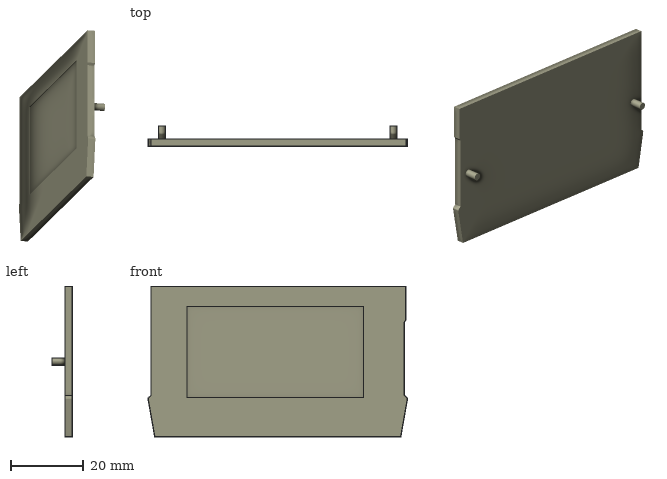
import cadquery as cq
import math

width = 71.7
height = 41.6
total_depth = 5.7
plate_thickness = 2.1

left_edge = 35.05
right_edge = 35.0
right_upper_edge = 35.4

right_step_low = 31.7
right_step_high = 32.35

lug_tip_height = 10.6
lug_tip_radius = 0.35
foot_taper = math.radians(10)
lug_slope = math.radians(45)

half_turn = (foot_taper + lug_slope) / 2
half_tilt = (lug_slope - foot_taper) / 2
corner_overshoot = lug_tip_radius * (math.cos(half_tilt) / math.cos(half_turn) - 1)
lug_corner = width / 2 + corner_overshoot
foot_half_width = lug_corner - lug_tip_height * math.tan(foot_taper)

recess_left = -25.0
recess_right = 23.65
recess_bottom = 10.8
recess_top = 36.1
recess_depth = 0.2

pin_diameter = 2.0
pin_offset = 32.0
pin_height = height / 2


def front_plane(y):
    """Workplane at depth y whose local axes are X and Z and whose normal is -Y."""
    return cq.Workplane("XZ", origin=(0, y, 0))


def lug_top_height(side_edge):
    """Height at which the upper slope of a lug meets a side edge."""
    return lug_tip_height + (lug_corner - side_edge) * math.tan(lug_slope)


def make_plate():
    """Flat plate with a rounded lug on each side edge above a tapered foot."""
    outline = [
        (-foot_half_width, 0),
        (foot_half_width, 0),
        (lug_corner, lug_tip_height),
        (right_edge, lug_top_height(right_edge)),
        (right_edge, right_step_low),
        (right_upper_edge, right_step_high),
        (right_upper_edge, height),
        (-left_edge, height),
        (-left_edge, lug_top_height(left_edge)),
        (-lug_corner, lug_tip_height),
    ]
    plate = front_plane(0).polyline(outline).close().extrude(-plate_thickness)
    return plate.edges("<X or >X").fillet(lug_tip_radius)


def make_recess():
    """Cutter for the label recess."""
    recess_width = recess_right - recess_left
    recess_height = recess_top - recess_bottom
    center_x = (recess_left + recess_right) / 2
    center_z = (recess_bottom + recess_top) / 2
    sketch = front_plane(0).center(center_x, center_z).rect(recess_width, recess_height)
    return sketch.extrude(-recess_depth)


def make_pins():
    """Both pins, standing on the back face."""
    centers = [(-pin_offset, pin_height), (pin_offset, pin_height)]
    pins = front_plane(plate_thickness).pushPoints(centers).circle(pin_diameter / 2)
    return pins.extrude(plate_thickness - total_depth)


result = make_plate().cut(make_recess()).union(make_pins())